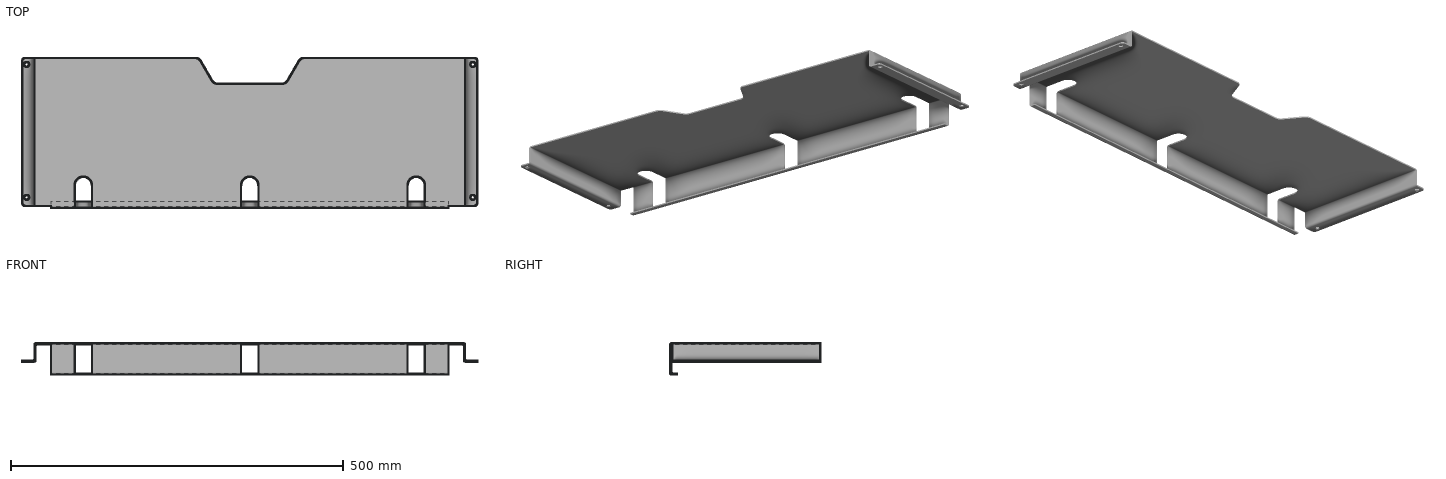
import cadquery as cq
import math

thickness = 2.0
inner_radius = 1.0
outer_radius = inner_radius + thickness

overall_width = 685.0
overall_depth = 226.0
overall_height = 47.4

plate_width = 648.0
flange_drop = 28.0
flange_front = outer_radius
flange_corner_radius = 5.0
hole_diameter = 7.0
hole_edge_offset = 7.0
hole_rows = (16.0, 216.0)

wall_width = 598.0
lip_depth = 10.0

slot_width = 25.6
slot_reach = 47.0
slot_spacing = 250.4

notch_depth = 39.0
notch_floor_width = 108.0
notch_angle = 60.0
notch_radius = 10.0

edge_tolerance = 0.1


def fillet_bends(channel, bends, radius):
    """Round the lengthwise edges through the given XZ points on both sides."""
    for x, z in bends:
        for side in (-1, 1):
            edge_box = cq.selectors.BoxSelector(
                (side * x - edge_tolerance, 0, z - edge_tolerance),
                (side * x + edge_tolerance, overall_depth, z + edge_tolerance),
                boundingbox=False,
            )
            channel = channel.edges(edge_box).fillet(radius)
    return channel


def make_channel():
    """Top plate with its two side walls and outward flanges, as one bent section."""
    half_plate = plate_width / 2
    half_width = overall_width / 2
    half_inside = half_plate - thickness
    flange_top = thickness - flange_drop
    right_side = [
        (half_plate, 0),
        (half_plate, flange_top),
        (half_width, flange_top),
        (half_width, -flange_drop),
        (half_inside, -flange_drop),
        (half_inside, -thickness),
    ]
    left_side = [(-x, z) for x, z in reversed(right_side)]
    channel = (
        cq.Workplane("XZ", origin=(0, overall_depth, 0))
        .polyline(right_side + left_side)
        .close()
        .extrude(overall_depth - flange_front)
    )
    outer_bends = [(half_plate, 0), (half_inside, -flange_drop)]
    inner_bends = [(half_plate, flange_top), (half_inside, -thickness)]
    channel = fillet_bends(channel, outer_bends, outer_radius)
    return fillet_bends(channel, inner_bends, inner_radius)


def make_front_wall():
    """Front wall bent down from the plate, with a lip returning underneath."""
    section = (
        cq.Workplane("YZ", origin=(-wall_width / 2, 0, 0))
        .moveTo(outer_radius, 0)
        .radiusArc((0, -outer_radius), -outer_radius)
        .lineTo(0, outer_radius - overall_height)
        .radiusArc((outer_radius, -overall_height), -outer_radius)
        .lineTo(lip_depth, -overall_height)
        .lineTo(lip_depth, thickness - overall_height)
        .lineTo(outer_radius, thickness - overall_height)
        .radiusArc((thickness, outer_radius - overall_height), inner_radius)
        .lineTo(thickness, -outer_radius)
        .radiusArc((outer_radius, -thickness), inner_radius)
        .close()
    )
    return section.extrude(wall_width)


def round_flange_corners(channel):
    """Round the outer corners of both flanges."""
    return channel.edges("|Z and (<X or >X)").fillet(flange_corner_radius)


def make_flange_holes():
    """Mounting holes near the ends of both flanges."""
    hole_x = overall_width / 2 - hole_edge_offset
    centres = [(side * hole_x, y) for side in (-1, 1) for y in hole_rows]
    return (
        cq.Workplane("XY", origin=(0, 0, -flange_drop))
        .pushPoints(centres)
        .circle(hole_diameter / 2)
        .extrude(thickness)
    )


def make_slot(x):
    """Round-ended slot through the plate and front wall, stopping above the lip."""
    half = slot_width / 2
    outline = (
        cq.Workplane("XY", origin=(x, 0, thickness - overall_height))
        .moveTo(-half, 0)
        .lineTo(half, 0)
        .lineTo(half, slot_reach - half)
        .threePointArc((0, slot_reach), (-half, slot_reach - half))
        .close()
    )
    return outline.extrude(overall_height - thickness)


def make_notch():
    """Flared notch in the rear edge, with rounded corners at floor and mouth."""
    half_floor = notch_floor_width / 2
    half_mouth = half_floor + notch_depth / math.tan(math.radians(notch_angle))
    floor_y = overall_depth - notch_depth
    tangent = notch_radius * math.tan(math.radians(notch_angle / 2))
    along_x = tangent * math.cos(math.radians(notch_angle))
    along_y = tangent * math.sin(math.radians(notch_angle))
    outline = (
        cq.Workplane("XY", origin=(0, 0, -thickness))
        .moveTo(-half_mouth - tangent, overall_depth)
        .radiusArc((-half_mouth + along_x, overall_depth - along_y), notch_radius)
        .lineTo(-half_floor - along_x, floor_y + along_y)
        .radiusArc((-half_floor + tangent, floor_y), -notch_radius)
        .lineTo(half_floor - tangent, floor_y)
        .radiusArc((half_floor + along_x, floor_y + along_y), -notch_radius)
        .lineTo(half_mouth - along_x, overall_depth - along_y)
        .radiusArc((half_mouth + tangent, overall_depth), notch_radius)
        .close()
    )
    return outline.extrude(thickness)


guard = round_flange_corners(make_channel())
guard = guard.union(make_front_wall())
guard = guard.cut(make_flange_holes()).cut(make_notch())
for slot_x in (-slot_spacing, 0, slot_spacing):
    guard = guard.cut(make_slot(slot_x))

result = guard